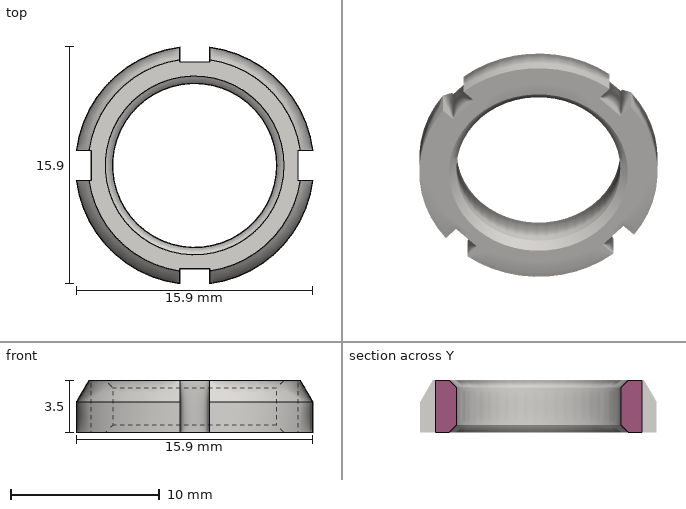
import cadquery as cq
import math

outer_diameter = 16.0
height = 3.5
bore_diameter = 11.0
bore_chamfer = 0.5

top_face_diameter = 14.32
bevel_angle = 30.0

slot_count = 4
slot_width = 2.0
slot_floor_radius = 6.95

outer_radius = outer_diameter / 2
bore_radius = bore_diameter / 2
top_face_radius = top_face_diameter / 2
bevel_height = (outer_radius - top_face_radius) / math.tan(math.radians(bevel_angle))


def make_ring():
    """Revolve the half section: bevelled outside, bore chamfered at both ends."""
    chamfer_radius = bore_radius + bore_chamfer
    return (
        cq.Workplane("XZ")
        .moveTo(chamfer_radius, 0)
        .lineTo(outer_radius, 0)
        .lineTo(outer_radius, height - bevel_height)
        .lineTo(top_face_radius, height)
        .lineTo(chamfer_radius, height)
        .lineTo(bore_radius, height - bore_chamfer)
        .lineTo(bore_radius, bore_chamfer)
        .close()
        .revolve(360, (0, 0, 0), (0, 1, 0))
    )


def make_slot_cutters():
    """Blocks that start at the slot floor and run past the rim."""
    cutter_length = outer_diameter - slot_floor_radius
    cutter_centre_radius = slot_floor_radius + cutter_length / 2
    return (
        cq.Workplane("XY")
        .polarArray(cutter_centre_radius, 0, 360, slot_count)
        .rect(cutter_length, slot_width)
        .extrude(height)
    )


result = make_ring().cut(make_slot_cutters())